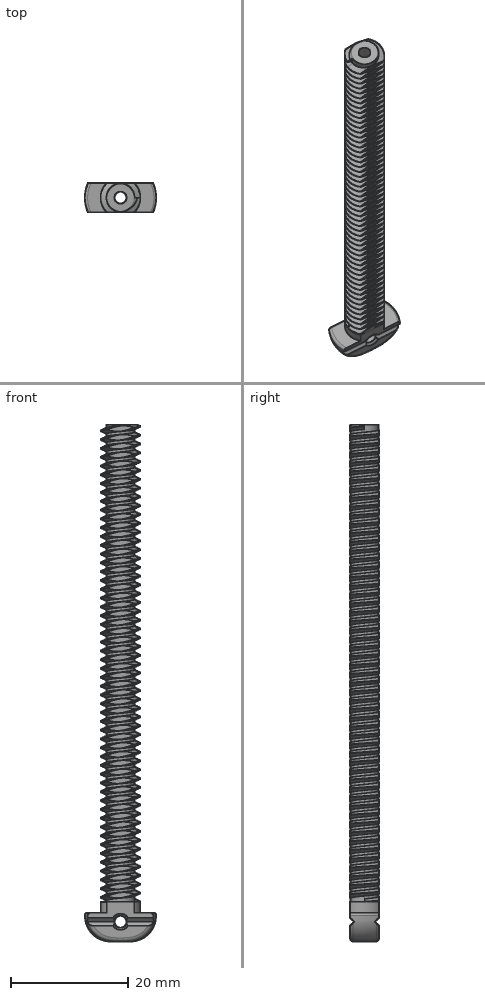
import cadquery as cq

total_length = 88.1
flat_width = 5.0

head_diameter = 12.2
head_height = 4.95
dome_radius = 4.5
head_rim_radius = head_height - dome_radius
dome_edge_fillet = 0.7

collar_diameter = 6.8
collar_top = 6.8

pitch = 1.5
turns = 54
core_diameter = 4.8
crest_width = 0.08
ridge_root_width = 1.1
ridge_overlap = 0.1
sewing_tolerance = 1e-4

bore_diameter = 2.0
cross_hole_height = 3.4
cross_hole_chamfer = 0.4
groove_depth = 0.75
groove_height = 1.4

groove_bottom = cross_hole_height - groove_height / 2
groove_top = cross_hole_height + groove_height / 2


def cut_to_flats(body):
    """Keep the part of the body between the two flats."""
    slab = cq.Workplane("XY").box(2 * head_diameter, flat_width, 2 * total_length)
    return body.intersect(slab)


def make_cylinder(diameter, bottom, top):
    return cq.Workplane("XY", origin=(0, 0, bottom)).circle(diameter / 2).extrude(top - bottom)


def make_groove(side):
    """V groove along X in one flat (side is -1 or +1)."""
    surface = side * flat_width / 2
    bottom = surface - side * groove_depth
    return (
        cq.Workplane("YZ", origin=(-head_diameter, 0, 0))
        .moveTo(surface, groove_bottom)
        .lineTo(bottom, cross_hole_height)
        .lineTo(surface, groove_top)
        .close()
        .extrude(2 * head_diameter)
    )


def make_head():
    """Domed head cut to the flats, grooved, with rounded edges where the dome meets the flats."""
    radius = head_diameter / 2
    head = (
        cq.Workplane("XZ")
        .lineTo(radius - dome_radius, 0)
        .radiusArc((radius, dome_radius), -dome_radius)
        .radiusArc((radius - head_rim_radius, head_height), -head_rim_radius)
        .lineTo(0, head_height)
        .close()
        .revolve(360, (0, 0, 0), (0, 1, 0))
        .rotate((0, 0, 0), (0, 0, 1), 90)
    )
    head = cut_to_flats(head)
    for side in (-1, 1):
        head = head.cut(make_groove(side))
    below_groove = cq.selectors.BoxSelector(
        (-head_diameter, -flat_width, -head_height),
        (head_diameter, flat_width, groove_bottom),
    )
    return head.faces("<Y or >Y").edges(below_groove).edges("not %LINE").fillet(dome_edge_fillet)


def make_cross_hole():
    """Bore along Y with a chamfered mouth at each flat."""
    half_width = flat_width / 2
    radius = bore_diameter / 2
    mouth = radius + cross_hole_chamfer
    return (
        cq.Workplane("XY")
        .moveTo(0, -half_width)
        .lineTo(mouth, -half_width)
        .lineTo(radius, cross_hole_chamfer - half_width)
        .lineTo(radius, half_width - cross_hole_chamfer)
        .lineTo(mouth, half_width)
        .lineTo(0, half_width)
        .close()
        .revolve(360, (0, 0, 0), (0, 1, 0))
        .translate((0, 0, cross_hole_height))
    )


def make_ridge_turn():
    """First turn of the ridge: right-handed, starting at +X on the collar, cut to the flats."""
    buried_radius = core_diameter / 2 - ridge_overlap
    crest_radius = collar_diameter / 2
    helix = cq.Wire.makeHelix(pitch, pitch, buried_radius)
    turn = (
        cq.Workplane("XZ")
        .moveTo(buried_radius, -ridge_root_width / 2)
        .lineTo(crest_radius, -crest_width / 2)
        .lineTo(crest_radius, crest_width / 2)
        .lineTo(buried_radius, ridge_root_width / 2)
        .close()
        .sweep(cq.Workplane(obj=helix), isFrenet=True)
        .translate((0, 0, collar_top))
    )
    return cut_to_flats(turn)


def make_ridge():
    """Stack copies of one turn, sewn into one solid without the end faces between turns."""
    turn = make_ridge_turn()
    end_faces = turn.faces("%PLANE").faces("not(<Y or >Y)")
    start = end_faces.faces("<Z").val()
    finish = end_faces.faces(">Z").val()
    ends = end_faces.vals()
    sides = [face for face in turn.faces().vals() if not any(face.isSame(end) for end in ends)]
    skin = [start, finish.translate(cq.Vector(0, 0, (turns - 1) * pitch))]
    for index in range(turns):
        lift = cq.Vector(0, 0, index * pitch)
        skin += [face.translate(lift) for face in sides]
    shell = cq.occ_impl.shapes.shell(skin, tol=sewing_tolerance)
    ridge = cq.Workplane(cq.occ_impl.shapes.solid(shell))
    above_end = make_cylinder(head_diameter, total_length, total_length + pitch)
    return ridge.cut(above_end, clean=False)


bore = make_cylinder(bore_diameter, 0, total_length)
collar = cut_to_flats(make_cylinder(collar_diameter, head_height, collar_top))
base = make_head().union(collar).cut(make_cross_hole()).cut(bore)
core = make_cylinder(core_diameter, collar_top, total_length).cut(bore)

shank = core.union(make_ridge(), clean=False)
result = base.union(shank, clean=False)